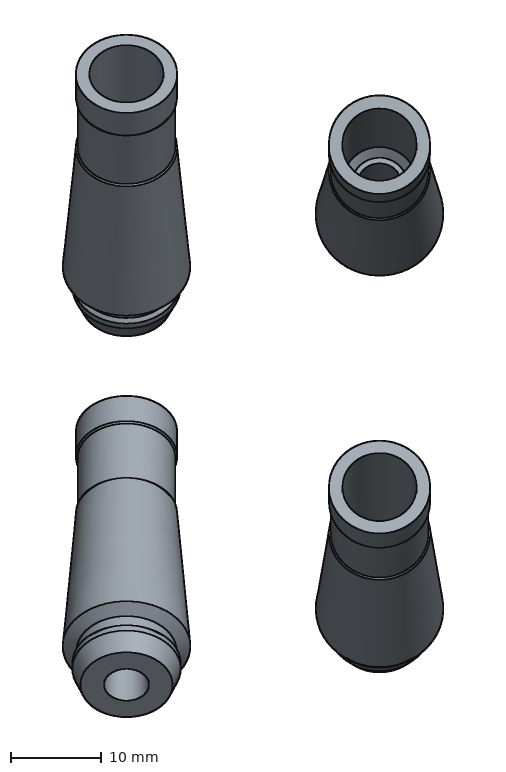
import cadquery as cq

total_height = 39.4

tip_radius = 5.1
bead_radius = 6.0
groove_radius = 5.55
body_base_radius = 7.05
body_top_radius = 5.6
neck_radius = 5.4
head_radius = body_top_radius

bead_bottom_z = 2.5
bead_top_z = 3.3
groove_bottom_z = bead_top_z + bead_radius - groove_radius
groove_top_z = 5.15
body_base_z = 6.0
body_top_z = 26.65
head_height = 3.95
shoulder_height = head_radius - neck_radius

bore_radius = 4.1
seat_radius = 3.1
through_radius = 2.5
bore_depth = total_height / 2
seat_taper_depth = bore_radius - seat_radius

head_base_z = total_height - head_height
seat_z = total_height - bore_depth


def revolve_profile(points):
    """Revolve a closed (radius, height) outline about the Z axis."""
    return cq.Workplane("XZ").polyline(points).close().revolve(360, (0, 0, 0), (0, 1, 0))


def outer_body():
    """Tapered tip with bead, groove, long conical body, neck and head."""
    return revolve_profile([
        (0, 0),
        (tip_radius, 0),
        (bead_radius, bead_bottom_z),
        (bead_radius, bead_top_z),
        (groove_radius, groove_bottom_z),
        (groove_radius, groove_top_z),
        (body_base_radius, body_base_z),
        (body_top_radius, body_top_z),
        (neck_radius, body_top_z + shoulder_height),
        (neck_radius, head_base_z - shoulder_height),
        (head_radius, head_base_z),
        (head_radius, total_height),
        (0, total_height),
    ])


def passage():
    """Wide bore narrowing through a taper to a flat seat around the through hole."""
    return revolve_profile([
        (0, 0),
        (through_radius, 0),
        (through_radius, seat_z),
        (seat_radius, seat_z),
        (bore_radius, seat_z + seat_taper_depth),
        (bore_radius, total_height),
        (0, total_height),
    ])


result = outer_body().cut(passage())